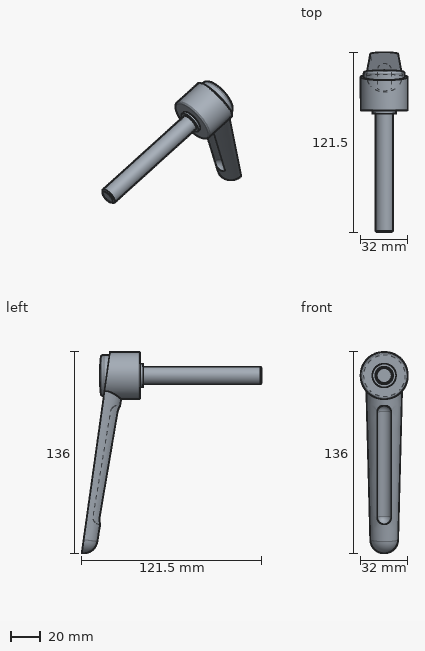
import cadquery as cq
import math


stud_radius = 6.0
stud_length = 80.0
stud_chamfer = 1.0
collar_radius = 8.0
collar_height = 2.0

hub_radius = 16.0
hub_edge_radius = 1.0

cap_radius = 14.0
cap_top = 29.4
cap_edge_start = 26.7
cap_edge_radius = 2.0

lean_angle = 8.0
tip_reach = 41.5
tip_drop = 120.02
tip_radius = 9.5
root_radius = 12.4

groove_radius = 4.75
groove_tip_margin = 16.3
groove_length = 71.8

lean = math.radians(lean_angle)
tip_y = tip_reach - tip_radius * math.sin(lean)
tip_z = tip_radius - tip_drop
back_y = tip_y + tip_z * math.tan(lean)
lever_length = -tip_z / math.cos(lean)
size_beyond_part = 4 * lever_length


def place_on_lean(body):
    """Move a body from lever axes (back plane y = 0, lever along -Z) to its place."""
    return body.rotate((0, 0, 0), (1, 0, 0), lean_angle).translate((0, back_y, 0))


def front_half_space():
    """Block filling everything in front of the back plane, in lever axes."""
    return cq.Workplane("XY").box(
        size_beyond_part, size_beyond_part, size_beyond_part
    ).translate((0, -size_beyond_part / 2, 0))


def make_hub():
    """Round hub with its back face cut along the leaning back plane."""
    blank = cq.Workplane("XZ", origin=(0, collar_height, 0)).circle(hub_radius).extrude(-cap_top)
    blank = blank.faces("<Y").edges().fillet(hub_edge_radius)
    return blank.intersect(place_on_lean(front_half_space()))


def make_stud():
    """Collar against the hub and the chamfered stud in front of it."""
    collar = cq.Workplane("XZ", origin=(0, collar_height, 0)).circle(collar_radius).extrude(collar_height)
    stud = cq.Workplane("XZ").circle(stud_radius).extrude(stud_length)
    return collar.union(stud.faces("<Y").chamfer(stud_chamfer))


def make_cap():
    """Round cap with a rounded rim and a shallow domed top, turned about Y."""
    base = collar_height + hub_edge_radius
    rim = cap_edge_start + cap_edge_radius
    rim_radius = cap_radius - cap_edge_radius
    dome_rise = cap_top - rim
    dome_radius = (rim_radius**2 + dome_rise**2) / (2 * dome_rise)
    mid_radius = rim_radius / 2
    mid_top = cap_top - dome_radius + math.sqrt(dome_radius**2 - mid_radius**2)
    return (
        cq.Workplane("XY")
        .moveTo(0, base)
        .lineTo(cap_radius, base)
        .lineTo(cap_radius, cap_edge_start)
        .tangentArcPoint((rim_radius, rim), relative=False)
        .threePointArc((mid_radius, mid_top), (0, cap_top))
        .close()
        .revolve(360, (0, 0, 0), (0, 1, 0))
    )


def make_lever():
    """Half cone ending in a quarter ball, in lever axes."""
    tip_end = -lever_length - tip_radius
    arc_middle = tip_radius * math.sqrt(0.5)
    return (
        cq.Workplane("XZ")
        .polyline([(0, tip_end), (0, 0), (root_radius, 0), (tip_radius, -lever_length)])
        .threePointArc((arc_middle, -lever_length - arc_middle), (0, tip_end))
        .close()
        .revolve(360, (0, 0, 0), (0, 1, 0))
        .intersect(front_half_space())
    )


def make_groove():
    """Round-ended cutter running parallel to the lever front, in lever axes."""
    taper = math.atan((root_radius - tip_radius) / lever_length)
    low_z = -lever_length + groove_tip_margin
    cone_radius = tip_radius + groove_tip_margin * math.tan(taper)
    depth = math.sqrt(cone_radius**2 - groove_radius**2)
    axis = cq.Vector(0, -math.sin(taper), math.cos(taper))
    low = cq.Vector(0, -depth, low_z)
    bar = cq.Workplane(cq.Solid.makeCylinder(groove_radius, groove_length, low, axis))
    for end in (low, low + axis * groove_length):
        bar = bar.union(cq.Workplane("XY").sphere(groove_radius).translate(end))
    return bar


lever = place_on_lean(make_lever().cut(make_groove()))
result = make_hub().union(make_cap()).union(lever).union(make_stud())